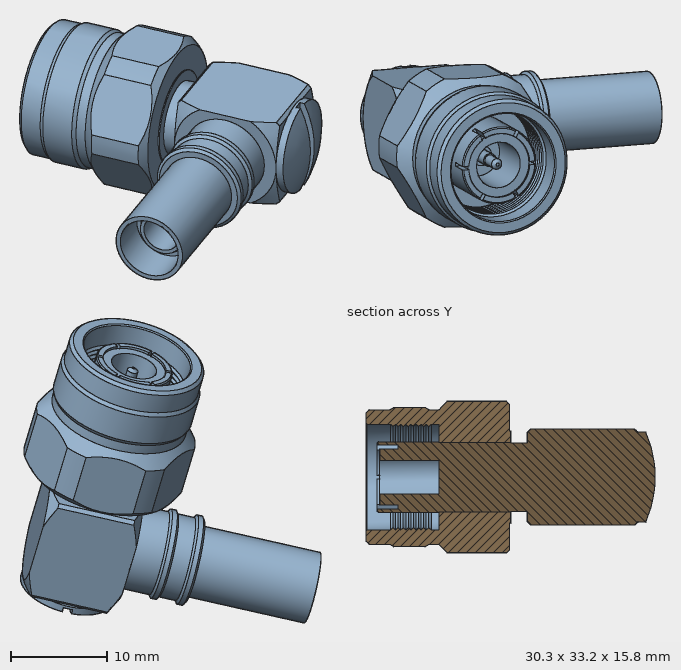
import cadquery as cq
import math

nut_barrel_radius = 7.25
nut_face_chamfer = 0.33
nut_band_radius = 7.47
nut_band_foot_start = 2.5
nut_band_start = 2.9
nut_band_end = 6.17
nut_band_foot_end = 6.57
hex_start = 7.6
hex_end = 14.97
hex_across_flats = 15.8
hex_turn = 30
hex_corner_radius = 8.53
hex_rear_chamfer = 0.75
nut_rear_boss_radius = 5.1
nut_rear_boss_end = 15.1

bore_radius = 5.75
bore_entry_chamfer = 0.13
thread_crest_radius = 5.5
thread_start = 2.55
thread_pitch = 0.53
thread_count = 8
nut_floor = 7.6

stem_radius = 3.98
sleeve_radius = 4.08
sleeve_front = 1.15
sleeve_tip_chamfer = 0.13
liner_radius = 3.4
liner_front = 1.43
socket_radius = 2.42
socket_floor = 7.6
sleeve_slot_count = 6
sleeve_slot_width = 0.35
sleeve_slot_end = 3.32

contact_radius = 0.7
contact_tip_radius = 0.15
contact_tip = 1.65
contact_nose_radius = 0.55
contact_nose_length = 0.3
contact_shoulder = 3.98
contact_collar_radius = 1.05
contact_collar_start = 6.3

elbow_center = 22.57
elbow_half_length = 5.78
elbow_half_width = 5.0
elbow_edge_chamfer = 0.35
elbow_face_circle_radius = elbow_half_length
elbow_face_bevel_angle = 30

cap_rim = 0.8
cap_end = 30.27
cap_slot_width = 1.0
cap_slot_depth = 1.63

neck_radius = 4.45
collar_radius = 4.78
collar_starts = (8.15, 11.0)
collar_width = 1.0
collar_bevel_length = 0.23
neck_end = collar_starts[1] + collar_width
tube_radius = 3.8
tube_bore_radius = 3.3
tube_end = 24.65
tube_bore_depth = 4.25
spigot_base_radius = 2.8
spigot_tip_radius = 2.4
spigot_taper_length = 1.1
cable_hole_radius = 2.0
cable_hole_depth = 3.32


def turned_about_x(points):
    """Solid of revolution about the X axis from (x, radius) points."""
    return cq.Workplane("XY").polyline(points).close().revolve(360, (0, 0, 0), (1, 0, 0))


def cylinder_x(start, end, radius):
    return cq.Workplane("YZ", origin=(start, 0, 0)).circle(radius).extrude(end - start)


def turned_about_barrel(points):
    """Solid of revolution about the barrel axis from (radius, distance toward -Y) points."""
    profile = [(elbow_center + radius, -distance) for radius, distance in points]
    return (
        cq.Workplane("XY")
        .polyline(profile)
        .close()
        .revolve(360, (elbow_center, 0, 0), (elbow_center, 1, 0))
    )


def make_nut():
    barrel = turned_about_x([
        (0, 0),
        (0, nut_barrel_radius - nut_face_chamfer),
        (nut_face_chamfer, nut_barrel_radius),
        (nut_band_foot_start, nut_barrel_radius),
        (nut_band_start, nut_band_radius),
        (nut_band_end, nut_band_radius),
        (nut_band_foot_end, nut_barrel_radius),
        (hex_start, nut_barrel_radius),
        (hex_start, 0),
    ])
    hex_prism = (
        cq.Workplane("YZ", origin=(hex_start, 0, 0))
        .polygon(6, hex_across_flats, circumscribed=True)
        .extrude(hex_end - hex_start)
        .rotate((0, 0, 0), (1, 0, 0), hex_turn)
    )
    hex_envelope = turned_about_x([
        (hex_start, 0),
        (hex_start, nut_barrel_radius),
        (hex_start + hex_corner_radius - nut_barrel_radius, hex_corner_radius),
        (hex_end - hex_rear_chamfer, hex_corner_radius),
        (hex_end, hex_corner_radius - hex_rear_chamfer),
        (hex_end, 0),
    ])
    rear_boss = cylinder_x(hex_end, nut_rear_boss_end, nut_rear_boss_radius)
    nut = barrel.union(hex_prism.intersect(hex_envelope)).union(rear_boss)
    return nut.cut(nut_bore()).cut(cylinder_x(nut_floor, nut_rear_boss_end, stem_radius))


def nut_bore():
    profile = [
        (0, 0),
        (0, bore_radius + bore_entry_chamfer),
        (bore_entry_chamfer, bore_radius),
        (thread_start, bore_radius),
    ]
    for i in range(thread_count):
        ridge_start = thread_start + i * thread_pitch
        profile += [
            (ridge_start + thread_pitch / 2, thread_crest_radius),
            (ridge_start + thread_pitch, bore_radius),
        ]
    profile += [(nut_floor, bore_radius), (nut_floor, 0)]
    return turned_about_x(profile)


def make_sleeve():
    sleeve = turned_about_x([
        (sleeve_front, 0),
        (sleeve_front, sleeve_radius - sleeve_tip_chamfer),
        (sleeve_front + sleeve_tip_chamfer, sleeve_radius),
        (nut_floor, sleeve_radius),
        (nut_floor, stem_radius),
        (elbow_center, stem_radius),
        (elbow_center, 0),
    ])
    sleeve = sleeve.cut(sleeve_slots())
    recess = cylinder_x(sleeve_front, liner_front, liner_radius)
    socket = cylinder_x(sleeve_front, socket_floor, socket_radius)
    return sleeve.cut(recess).cut(socket)


def sleeve_slots():
    """Slots across the sleeve wall; each bar crosses the axis and makes two opposite slots."""
    length = sleeve_slot_end - sleeve_front
    bar = (
        cq.Workplane("XY")
        .box(length, 2 * bore_radius, sleeve_slot_width)
        .translate((sleeve_front + length / 2, 0, 0))
    )
    slots = bar
    for i in range(1, sleeve_slot_count // 2):
        slots = slots.union(bar.rotate((0, 0, 0), (1, 0, 0), i * 360 / sleeve_slot_count))
    return slots.cut(cylinder_x(sleeve_front, sleeve_slot_end, liner_radius))


def make_contact():
    nose_end = contact_tip + contact_nose_length
    return turned_about_x([
        (contact_tip, 0),
        (contact_tip, contact_tip_radius),
        (nose_end, contact_nose_radius),
        (contact_shoulder, contact_nose_radius),
        (contact_shoulder, contact_radius),
        (contact_collar_start, contact_radius),
        (contact_collar_start, contact_collar_radius),
        (socket_floor, contact_collar_radius),
        (socket_floor, 0),
    ])


def make_elbow():
    block = (
        cq.Workplane("XY")
        .box(2 * elbow_half_length, 2 * elbow_half_width, 2 * elbow_half_width)
        .edges("|Y")
        .chamfer(elbow_edge_chamfer)
        .translate((elbow_center, 0, 0))
    )
    outer_radius = 2 * elbow_half_length
    bevel_slope = math.tan(math.radians(elbow_face_bevel_angle))
    bevel_drop = (outer_radius - elbow_face_circle_radius) * bevel_slope
    envelope = turned_about_barrel([
        (0, elbow_half_width),
        (elbow_face_circle_radius, elbow_half_width),
        (outer_radius, elbow_half_width - bevel_drop),
        (outer_radius, bevel_drop - elbow_half_width),
        (elbow_face_circle_radius, -elbow_half_width),
        (0, -elbow_half_width),
    ])
    return block.intersect(envelope)


def make_cap():
    """Domed screw cap with a straight driver slot along Z."""
    rim_start = elbow_center + elbow_half_length
    rim_end = rim_start + cap_rim
    dome_rise = cap_end - rim_end
    dome_radius = (elbow_half_width**2 + dome_rise**2) / (2 * dome_rise)
    mid_radius = elbow_half_width / 2
    mid_x = cap_end - dome_radius + math.sqrt(dome_radius**2 - mid_radius**2)
    cap = (
        cq.Workplane("XY")
        .moveTo(rim_start, 0)
        .lineTo(rim_start, elbow_half_width)
        .lineTo(rim_end, elbow_half_width)
        .threePointArc((mid_x, mid_radius), (cap_end, 0))
        .close()
        .revolve(360, (0, 0, 0), (1, 0, 0))
    )
    slot = (
        cq.Workplane("XY")
        .box(2 * cap_slot_depth, cap_slot_width, 4 * elbow_half_width)
        .translate((cap_end, 0, 0))
    )
    return cap.cut(slot)


def make_collar(start):
    """Raised ring with both edges beveled down to the neck."""
    end = start + collar_width
    return turned_about_barrel([
        (0, start),
        (neck_radius, start),
        (collar_radius, start + collar_bevel_length),
        (collar_radius, end - collar_bevel_length),
        (neck_radius, end),
        (0, end),
    ])


def make_cable_barrel():
    barrel = turned_about_barrel([
        (0, 0),
        (neck_radius, 0),
        (neck_radius, neck_end),
        (tube_radius, neck_end),
        (tube_radius, tube_end),
        (0, tube_end),
    ])
    for start in collar_starts:
        barrel = barrel.union(make_collar(start))
    return barrel.cut(cable_bore())


def cable_bore():
    """Space inside the tube around the tapered spigot, plus the spigot's hole."""
    floor = tube_end - tube_bore_depth
    tip = floor + spigot_taper_length
    return turned_about_barrel([
        (0, tip - cable_hole_depth),
        (cable_hole_radius, tip - cable_hole_depth),
        (cable_hole_radius, tip),
        (spigot_tip_radius, tip),
        (spigot_base_radius, floor),
        (tube_bore_radius, floor),
        (tube_bore_radius, tube_end),
        (0, tube_end),
    ])


def make_connector():
    return (
        make_elbow()
        .union(make_cap())
        .union(make_cable_barrel())
        .union(make_sleeve())
        .union(make_contact())
    )


nut = make_nut()
connector = make_connector()
result = cq.Compound.makeCompound([nut.solids().val(), connector.solids().val()])